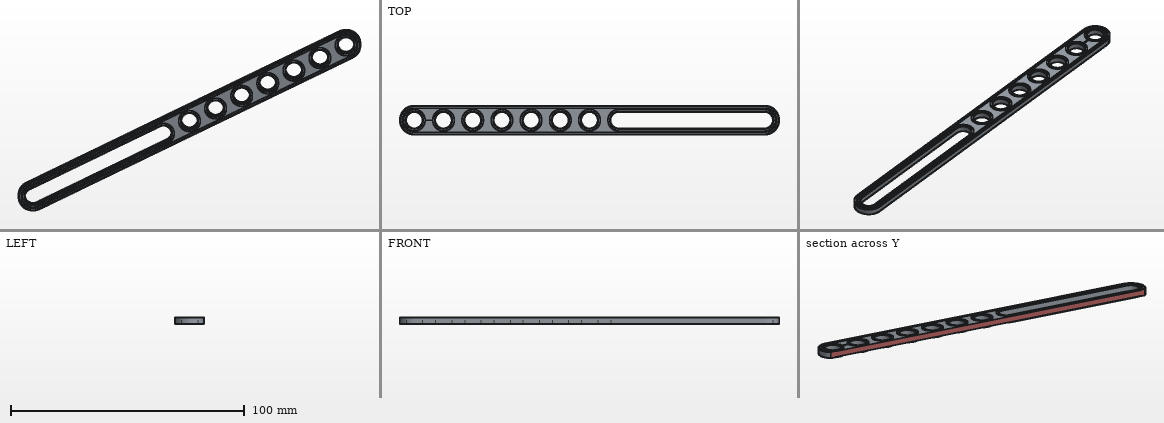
import cadquery as cq

length = 162.5
pitch_count = 13
hole_count = 7
thickness = 3.1
hole_diameter = 7.0
collar_diameter = 9.3
edge_chamfer = 0.3
panel_depth = 0.2
rib_width = 0.2

pitch = length / pitch_count
width = pitch
border_width = (collar_diameter - hole_diameter) / 2
first_center_x = -length / 2 + width / 2
last_center_x = length / 2 - width / 2
slot_start_x = first_center_x + hole_count * pitch
hole_centers = [(first_center_x + index * pitch, 0) for index in range(hole_count)]


def rounded_bar(start_x, end_x, bar_width, height):
    """Bar with round ends centred on start_x and end_x, standing on Z = 0."""
    span = end_x - start_x
    profile = cq.Workplane("XY").center(start_x + span / 2, 0).slot2D(span + bar_width, bar_width)
    return profile.extrude(height)


def holes_and_slot(diameter, height):
    """Solid filling the row of holes and the long slot, each as wide as the diameter."""
    row = cq.Workplane("XY").pushPoints(hole_centers).circle(diameter / 2).extrude(height)
    return row.union(rounded_bar(slot_start_x, last_center_x, diameter, height))


def sunken_panel():
    """Shallow recess between the outer border and the collars around the openings."""
    inside_border = rounded_bar(first_center_x, last_center_x, width - 2 * border_width, panel_depth)
    return inside_border.cut(holes_and_slot(collar_diameter, panel_depth))


def collar_rib():
    """Thin rib on the upper panel, joining the collars of the first two holes."""
    rib_length = pitch - (collar_diameter + hole_diameter) / 2
    return (
        cq.Workplane("XY", origin=(first_center_x + pitch / 2, 0, thickness - panel_depth))
        .rect(rib_length, rib_width)
        .extrude(panel_depth)
    )


plate = rounded_bar(first_center_x, last_center_x, width, thickness)
plate = plate.cut(holes_and_slot(hole_diameter, thickness))
plate = plate.faces("|Z").edges().chamfer(edge_chamfer)

lower_panel = sunken_panel()
upper_panel = lower_panel.translate((0, 0, thickness - panel_depth))
plate = plate.cut(lower_panel).cut(upper_panel)

result = plate.union(collar_rib())